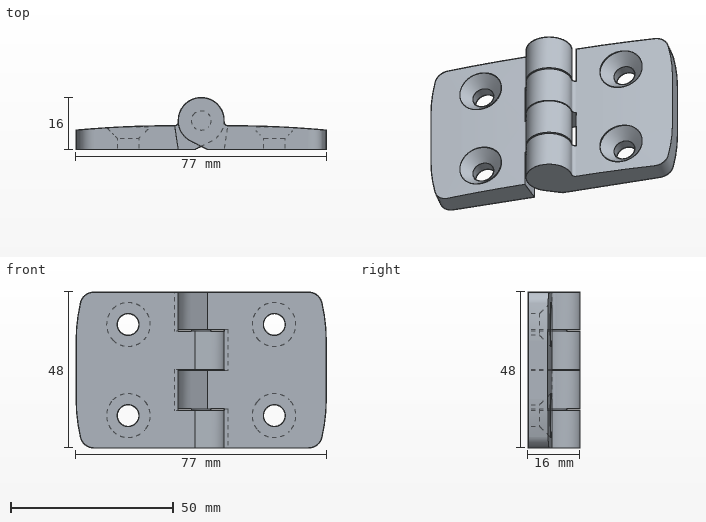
import cadquery as cq
import math

length = 77.0
depth = 16.0
height = 48.0
half_length = length / 2
half_height = height / 2

barrel_radius = 7.1
barrel_y = depth - barrel_radius
pin_diameter = 6.0
fillet_radius = 1.1

leaf_thickness = 7.4
edge_thickness = 6.0
foot_x = 1.9
slot_foot_x = 7.1
slot_top_x = barrel_radius + fillet_radius

straight_half = 8.9
corner_radius = 4.3
corner_x = 32.95

hole_diameter = 6.6
sink_diameter = 13.55
sink_y = 6.9
hole_x = 22.5
hole_z = 14.0

knuckle_gap = 0.5
gap_z = 12.2
middle_gap = 0.2


def leaf_section():
    """Closed XY section of the +X leaf together with its barrel."""
    foot_distance = math.hypot(foot_x, barrel_y)
    tangent_angle = math.atan2(-barrel_y, foot_x) - math.acos(barrel_radius / foot_distance)
    tangent = (
        barrel_radius * math.cos(tangent_angle),
        barrel_y + barrel_radius * math.sin(tangent_angle),
    )
    return (
        cq.Workplane("XY")
        .moveTo(foot_x, 0)
        .lineTo(*tangent)
        .threePointArc((0, depth), (barrel_radius, barrel_y))
        .lineTo(barrel_radius, leaf_thickness + fillet_radius)
        .tangentArcPoint((slot_top_x, leaf_thickness), relative=False)
        .tangentArcPoint((half_length, edge_thickness), relative=False)
        .lineTo(half_length, 0)
        .close()
        .extrude(half_height, both=True)
    )


def leaf_outline():
    """Leaf outline in XZ with a bowed outer edge, as a block through the whole depth."""
    corner_z = half_height - corner_radius
    inset = half_length - corner_x
    rise = corner_z - straight_half
    bow_radius = (inset**2 + rise**2 - corner_radius**2) / (2 * (inset - corner_radius))
    bow_x = half_length - bow_radius
    join_angle = math.atan2(rise, corner_x - bow_x)
    join_x = bow_x + bow_radius * math.cos(join_angle)
    join_z = straight_half + bow_radius * math.sin(join_angle)
    middle_x = bow_x + bow_radius * math.cos(join_angle / 2)
    middle_z = straight_half + bow_radius * math.sin(join_angle / 2)
    bend_x = corner_x + corner_radius * math.sin(join_angle)
    bend_z = corner_z + corner_radius * math.cos(join_angle)
    return (
        cq.Workplane("XZ")
        .moveTo(-slot_top_x, -half_height)
        .lineTo(corner_x, -half_height)
        .threePointArc((bend_x, -bend_z), (join_x, -join_z))
        .threePointArc((middle_x, -middle_z), (half_length, -straight_half))
        .lineTo(half_length, straight_half)
        .threePointArc((middle_x, middle_z), (join_x, join_z))
        .threePointArc((bend_x, bend_z), (corner_x, half_height))
        .lineTo(-slot_top_x, half_height)
        .close()
        .extrude(-depth)
    )


def slot(bottom, top):
    """Clearance in the +X leaf for a knuckle of the other leaf, with a sloped wall."""
    return (
        cq.Workplane("XY", origin=(0, 0, bottom))
        .polyline([
            (-slot_top_x, 0),
            (slot_foot_x, 0),
            (slot_top_x, leaf_thickness),
            (slot_top_x, depth),
            (-slot_top_x, depth),
        ])
        .close()
        .extrude(top - bottom)
    )


def screw_hole():
    """Cutter for a hole along Y with a 90 degree countersink at the outer surface."""
    hole_radius = hole_diameter / 2
    sink_radius = sink_diameter / 2
    sink_start = sink_y - (sink_radius - hole_radius)
    return (
        cq.Workplane("XY")
        .polyline([
            (0, 0),
            (hole_radius, 0),
            (hole_radius, sink_start),
            (sink_radius, sink_y),
            (sink_radius, depth),
            (0, depth),
        ])
        .close()
        .revolve(360, (0, 0, 0), (0, 1, 0))
    )


def make_leaf():
    """The +X leaf: two knuckles alternating with two slots."""
    leaf = (
        leaf_section()
        .intersect(leaf_outline())
        .cut(slot(-middle_gap / 2, gap_z + knuckle_gap / 2))
        .cut(slot(-half_height, -gap_z + knuckle_gap / 2))
    )
    for z in (hole_z, -hole_z):
        leaf = leaf.cut(screw_hole().translate((hole_x, 0, z)))
    return leaf


pin = (
    cq.Workplane("XY")
    .center(0, barrel_y)
    .circle(pin_diameter / 2)
    .extrude(gap_z + knuckle_gap, both=True)
)

leaf = make_leaf()
opposite_leaf = leaf.rotate((0, 0, 0), (0, 1, 0), 180)
result = leaf.union(opposite_leaf).union(pin)